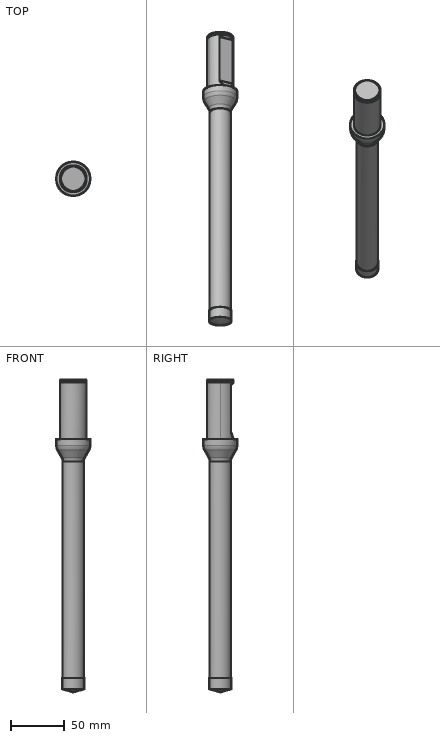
import cadquery as cq
import math

total_length = 293.0

shank_diameter = 24.99
shank_length = 56.0
lead_in_width = 1.0
lead_in_height = 1.5

groove_diameter = 24.6
groove_width = 0.6
groove_top_depth = 2.2

flat_distance = 10.2
flat_top_gap = 2.4
flat_top_ramp = 3.0
flat_bottom_ramp = 6.2

flange_diameter = 32.0
flange_height = 6.0
shoulder_radius = 8.0
flare_angle = 30.0
neck_diameter = 19.5
neck_fillet_radius = 8.0

body_diameter = 20.3
tip_diameter = 20.9
tip_length = 13.2
tip_cone_height = 3.0

shank_radius = shank_diameter / 2
groove_radius = groove_diameter / 2
flange_radius = flange_diameter / 2
neck_radius = neck_diameter / 2
body_radius = body_diameter / 2
tip_radius = tip_diameter / 2

groove_top_z = shank_length - groove_top_depth
groove_bottom_z = groove_top_z - groove_width
flat_top_z = shank_length - flat_top_gap
tip_apex_z = shank_length - total_length
tip_seat_z = tip_apex_z + tip_length
tip_corner_z = tip_apex_z + tip_cone_height


def revolve_profile(profile):
    """Revolve a closed (radius, Z) profile a full turn about the Z axis."""
    return profile.close().revolve(360, (0, 0, 0), (0, 1, 0))


def arc_point(center, radius, angle):
    """Point on a circle, with the angle in degrees from the +radius direction."""
    turn = math.radians(angle)
    return (center[0] + radius * math.cos(turn), center[1] + radius * math.sin(turn))


def make_turned_holder():
    """Shank, flange, flare and drill body as one turned shape."""
    flare_turn = math.radians(flare_angle)

    shoulder_center = (flange_radius - shoulder_radius, -flange_height)
    shoulder_middle = arc_point(shoulder_center, shoulder_radius, -flare_angle / 2)
    shoulder_end = arc_point(shoulder_center, shoulder_radius, -flare_angle)

    fillet_center_radius = neck_radius + neck_fillet_radius
    fillet_start_radius = fillet_center_radius - neck_fillet_radius * math.cos(flare_turn)
    flare_drop = (shoulder_end[0] - fillet_start_radius) / math.tan(flare_turn)
    fillet_start = (fillet_start_radius, shoulder_end[1] - flare_drop)
    fillet_end_z = fillet_start[1] - neck_fillet_radius * math.sin(flare_turn)
    fillet_center = (fillet_center_radius, fillet_end_z)
    fillet_middle = arc_point(fillet_center, neck_fillet_radius, 180 - flare_angle / 2)

    profile = (
        cq.Workplane("XZ")
        .moveTo(0, shank_length)
        .lineTo(shank_radius - lead_in_width, shank_length)
        .lineTo(shank_radius, shank_length - lead_in_height)
        .lineTo(shank_radius, groove_top_z)
        .lineTo(groove_radius, groove_top_z)
        .lineTo(groove_radius, groove_bottom_z)
        .lineTo(shank_radius, groove_bottom_z)
        .lineTo(shank_radius, 0)
        .lineTo(flange_radius, 0)
        .lineTo(flange_radius, -flange_height)
        .threePointArc(shoulder_middle, shoulder_end)
        .lineTo(*fillet_start)
        .threePointArc(fillet_middle, (neck_radius, fillet_end_z))
        .lineTo(body_radius, fillet_end_z)
        .lineTo(body_radius, tip_seat_z)
        .lineTo(0, tip_seat_z)
    )
    return revolve_profile(profile)


def make_flat_cutter():
    """Prism that cuts the clamping flat, ramping out to the shank surface at both ends."""
    return (
        cq.Workplane("YZ")
        .moveTo(shank_radius, flat_top_z)
        .lineTo(flat_distance, flat_top_z - flat_top_ramp)
        .lineTo(flat_distance, flat_bottom_ramp)
        .lineTo(shank_radius, 0)
        .close()
        .extrude(shank_radius, both=True)
    )


def make_tip():
    """Cylindrical drill tip with a shallow cone point."""
    profile = (
        cq.Workplane("XZ")
        .moveTo(0, tip_seat_z)
        .lineTo(tip_radius, tip_seat_z)
        .lineTo(tip_radius, tip_corner_z)
        .lineTo(0, tip_apex_z)
    )
    return revolve_profile(profile)


holder = make_turned_holder().cut(make_flat_cutter())
tip = make_tip()

result = cq.Compound.makeCompound([holder.val(), tip.val()])